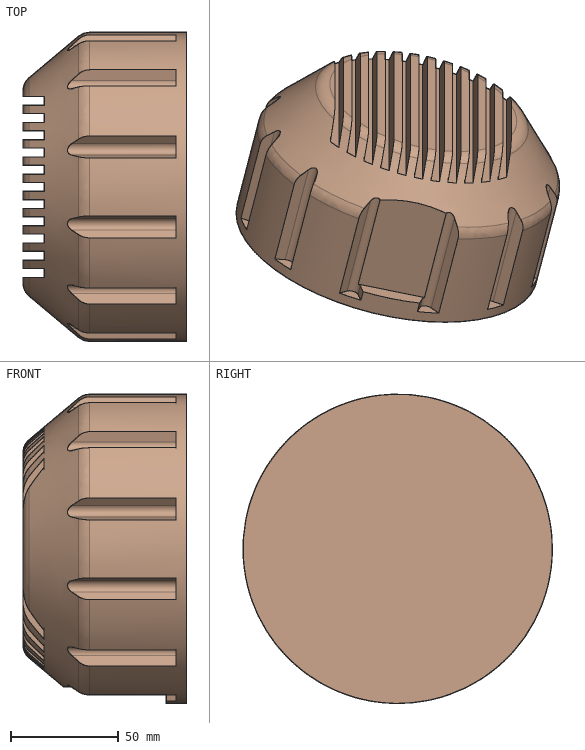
import cadquery as cq
import math

length = 76.2
outer_radius = 72.0
nose_radius = 48.4
cone_angle = 40.0
edge_rounding = 8.0

slot_count = 11
slot_width = 4.0
slot_depth = 10.0
slot_row_width = 80.0

groove_count = 12
groove_floor_radius = 65.8
groove_root_radius = 3.2
groove_flank_angle = 30.0
groove_rim_land = 4.9

flat_height = 64.2
flat_rim_land = 9.5

groove_pitch = 360.0 / groove_count
first_groove_angle = groove_pitch / 2
cutter_clearance = 7.2
outside_radius = outer_radius + cutter_clearance


def make_blank():
    """Revolve the cap outline: nose plane, cone and cylinder with rounded transitions."""
    cone_length = (outer_radius - nose_radius) / math.tan(math.radians(cone_angle))
    blank = (
        cq.Workplane("XY")
        .polyline([
            (0, 0),
            (0, nose_radius),
            (cone_length, outer_radius),
            (length, outer_radius),
            (length, 0),
        ])
        .close()
        .revolve(360, (0, 0, 0), (1, 0, 0))
    )
    middle_of_cylinder = (cone_length + length) / 2
    cone_ends = cq.selectors.BoxSelector(
        (-outside_radius, -outside_radius, -outside_radius),
        (middle_of_cylinder, outside_radius, outside_radius),
        boundingbox=True,
    )
    return blank.edges("%CIRCLE").edges(cone_ends).fillet(edge_rounding)


def make_slots():
    """Parallel slots that run through the nose along Z."""
    pitch = slot_row_width / (slot_count - 1)
    first_slot_y = -slot_row_width / 2
    return (
        cq.Workplane("XY")
        .pushPoints([(slot_depth / 2, first_slot_y + i * pitch) for i in range(slot_count)])
        .rect(slot_depth, slot_width)
        .extrude(outside_radius, both=True)
    )


def make_groove_cutter():
    """Cutter for the groove at the top: a round root with straight flanks opening outwards."""
    flank = math.radians(groove_flank_angle)
    root_centre = groove_floor_radius + groove_root_radius
    tangent_y = groove_root_radius * math.cos(flank)
    tangent_z = root_centre - groove_root_radius * math.sin(flank)
    mouth_y = tangent_y + (outside_radius - tangent_z) * math.tan(flank)
    return (
        cq.Workplane("YZ")
        .moveTo(-mouth_y, outside_radius)
        .lineTo(-tangent_y, tangent_z)
        .threePointArc((0, groove_floor_radius), (tangent_y, tangent_z))
        .lineTo(mouth_y, outside_radius)
        .close()
        .extrude(length - groove_rim_land)
    )


def make_flat_cutter():
    """Block below the flat; its sides end inside the two lowest grooves."""
    half_width = flat_height * math.tan(math.radians(first_groove_angle))
    return cq.Workplane("XY").box(
        length - flat_rim_land,
        2 * half_width,
        outside_radius - flat_height,
        centered=(False, True, False),
    ).translate((0, 0, -outside_radius))


cover = make_blank().cut(make_slots())
groove_cutter = make_groove_cutter()
for i in range(groove_count):
    angle = first_groove_angle + i * groove_pitch
    cover = cover.cut(groove_cutter.rotate((0, 0, 0), (1, 0, 0), angle))
cover = cover.cut(make_flat_cutter())

result = cq.Compound.makeCompound([cover.val()])